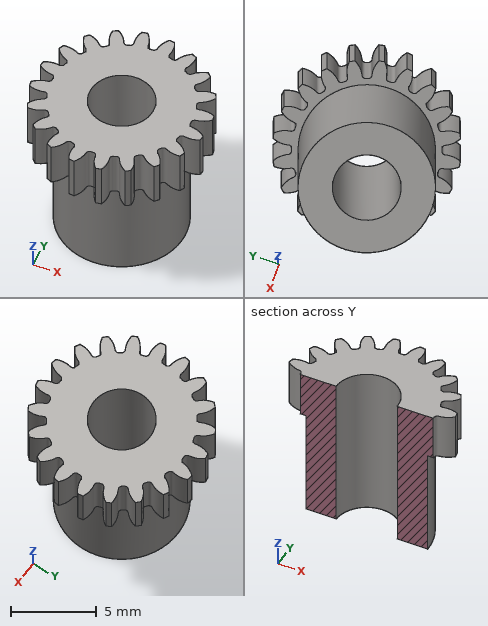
import cadquery as cq
import math

outer_width = 10.91
total_height = 10.0
gear_height = 3.0
hub_diameter = 8.0
bore_diameter = hub_diameter / 2

tooth_count = 20
pressure_angle = math.radians(20)
addendum_factor = 1.0
dedendum_factor = 1.25
root_fillet_factor = 0.43

tooth_pitch = 2 * math.pi / tooth_count
first_tooth_angle = tooth_pitch / 2


def involute(angle):
    """Involute function of a pressure angle."""
    return math.tan(angle) - angle


pitch_half_angle = tooth_pitch / 4
base_half_angle = pitch_half_angle + involute(pressure_angle)
tip_pressure_angle = math.acos(tooth_count * math.cos(pressure_angle) / (tooth_count + 2 * addendum_factor))
tip_half_angle = base_half_angle - involute(tip_pressure_angle)

tip_corner_angle = first_tooth_angle - tip_half_angle
tip_radius = outer_width / 2 / math.cos(tip_corner_angle)
module = 2 * tip_radius / (tooth_count + 2 * addendum_factor)
pitch_radius = module * tooth_count / 2
root_radius = pitch_radius - dedendum_factor * module
root_fillet = root_fillet_factor * module


def polar(radius, angle):
    """Point at a radius and an angle about the gear axis."""
    return (radius * math.cos(angle), radius * math.sin(angle))


def gear_outline():
    """Closed outline of all the teeth, drawn counter-clockwise."""
    fillet_centre_radius = root_radius + root_fillet
    fillet_turn = math.asin(root_fillet / fillet_centre_radius)
    fillet_top_radius = fillet_centre_radius * math.cos(fillet_turn)
    root_half_angle = base_half_angle + fillet_turn

    middle_turn = (math.pi / 2 - fillet_turn) / 2
    along = fillet_centre_radius - root_fillet * math.cos(middle_turn)
    across = root_fillet * math.sin(middle_turn)
    fillet_middle_radius = math.hypot(along, across)
    fillet_middle_half_angle = root_half_angle - math.atan2(across, along)

    outline = cq.Workplane("XY").moveTo(*polar(root_radius, first_tooth_angle - root_half_angle))
    for i in range(tooth_count):
        centre = first_tooth_angle + i * tooth_pitch
        outline = (
            outline
            .threePointArc(
                polar(fillet_middle_radius, centre - fillet_middle_half_angle),
                polar(fillet_top_radius, centre - base_half_angle),
            )
            .threePointArc(
                polar(pitch_radius, centre - pitch_half_angle),
                polar(tip_radius, centre - tip_half_angle),
            )
            .threePointArc(
                polar(tip_radius, centre),
                polar(tip_radius, centre + tip_half_angle),
            )
            .threePointArc(
                polar(pitch_radius, centre + pitch_half_angle),
                polar(fillet_top_radius, centre + base_half_angle),
            )
            .threePointArc(
                polar(fillet_middle_radius, centre + fillet_middle_half_angle),
                polar(root_radius, centre + root_half_angle),
            )
            .threePointArc(
                polar(root_radius, centre + tooth_pitch / 2),
                polar(root_radius, centre + tooth_pitch - root_half_angle),
            )
        )
    return outline.close()


gear = gear_outline().extrude(gear_height).translate((0, 0, total_height - gear_height))
hub = cq.Workplane("XY").circle(hub_diameter / 2).extrude(total_height - gear_height)
bore = cq.Workplane("XY").circle(bore_diameter / 2).extrude(total_height)
result = hub.union(gear).cut(bore)